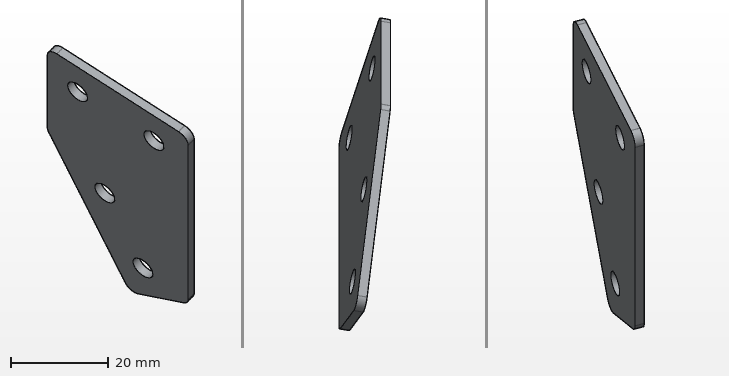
import cadquery as cq
import math

width = 37.0
height = 64.8
thickness = 2.0
corner_radius = 2.5

lean = math.radians(30)
tip_arc_x = 22.7

hole_diameter = 5.2
hole_spacing = 20.0
hole_side_margin = 8.0
hole_edge_margin = 8.5


def along_leg(start, up, across):
    """Move from a point, up the slanted edge and across along the cut end."""
    x = start[0] - up * math.sin(lean) + across * math.cos(lean)
    z = start[1] + up * math.cos(lean) + across * math.sin(lean)
    return (x, z)


tip = along_leg((tip_arc_x, corner_radius), -corner_radius, -corner_radius)
left_corner_z = tip[1] + tip[0] / math.tan(lean)
right_corner_z = tip[1] + (width - tip[0]) * math.tan(lean)

outline = [
    (0, height),
    (width, height),
    (width, right_corner_z),
    tip,
    (0, left_corner_z),
]

plate = (
    cq.Workplane("XZ")
    .polyline(outline)
    .close()
    .extrude(thickness)
    .edges("|Y")
    .fillet(corner_radius)
)

top_hole_z = height - hole_edge_margin
hole_centres = []
for step in (0, hole_spacing):
    hole_centres.append((hole_side_margin + step, top_hole_z))
    hole_centres.append(along_leg(tip, hole_side_margin + step, hole_edge_margin))

holes = (
    cq.Workplane("XZ")
    .pushPoints(hole_centres)
    .circle(hole_diameter / 2)
    .extrude(thickness)
)

result = plate.cut(holes)